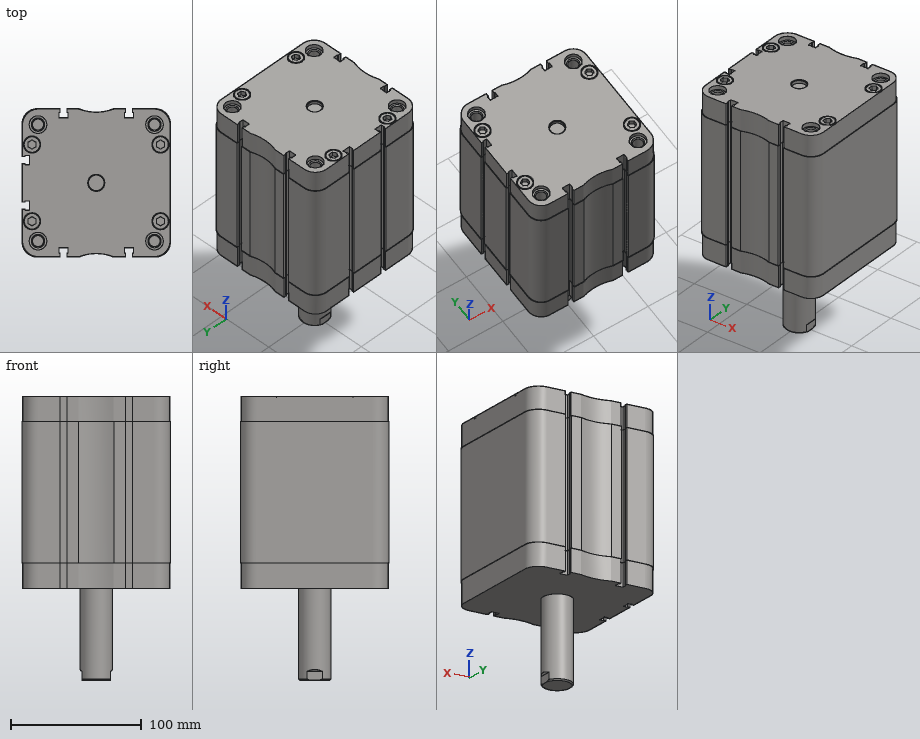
import cadquery as cq
import math

TOTAL_LENGTH = 217.0
ROD_STICKOUT = 70.0
FRONT_CAP_THICKNESS = 19.7
REAR_CAP_THICKNESS = 19.0
FRONT_FACE_Z = ROD_STICKOUT
BARREL_START_Z = FRONT_FACE_Z + FRONT_CAP_THICKNESS
BARREL_END_Z = TOTAL_LENGTH - REAR_CAP_THICKNESS

BARREL_SIDE = 113.5
CAP_SETBACK = 0.5
CAP_SIDE = BARREL_SIDE - 2 * CAP_SETBACK
CORNER_RADIUS = 12.0

RECESS_WIDTH = 27.0
RECESS_FLOOR_Y = 54.0

SLOT_NECK_WIDTH = 5.2
SLOT_CAVITY_WIDTH = 6.7
Y_SIDE_SLOT_OFFSET = 25.0
Y_SIDE_SLOT_LIP = 53.5
BARREL_Y_SIDE_SLOT_FLOOR = 50.0
CAP_Y_SIDE_SLOT_FLOOR = BARREL_Y_SIDE_SLOT_FLOOR - CAP_SETBACK
X_SIDE_SLOT_OFFSET = 17.4
X_SIDE_SLOT_LIP = 54.2
X_SIDE_SLOT_FLOOR = 51.0

MOUNT_OFFSET = 44.5
MOUNT_COUNTERBORE_DIAMETER = 13.5
MOUNT_COUNTERBORE_DEPTH = 3.5
MOUNT_COUNTERSINK_DIAMETER = 10.2
MOUNT_HOLE_DIAMETER = 8.5

SCREW_X = 49.0
SCREW_Y = 29.3
SCREW_RING_OUTER_DIAMETER = 13.0
SCREW_RING_INNER_DIAMETER = 12.0
SCREW_RING_DEPTH = 1.0
SOCKET_ACROSS_FLATS = 6.0
SOCKET_DEPTH = 4.0

CENTRE_HOLE_DIAMETER = 12.0
CENTRE_HOLE_RIM_DIAMETER = 13.0
CENTRE_HOLE_DEPTH = 3.0

ROD_DIAMETER = 25.0
ROD_TIP_CHAMFER = 1.0
FLATS_DISTANCE = 22.1
FLATS_LENGTH = 7.0


def t_slot(lip, floor, length):
    """T-slot cutter along Z that opens toward +Y, centred on the YZ plane."""
    neck = cq.Workplane("XY").box(
        SLOT_NECK_WIDTH, BARREL_SIDE / 2 - floor, length, centered=(True, False, False))
    cavity = cq.Workplane("XY").box(
        SLOT_CAVITY_WIDTH, lip - floor, length, centered=(True, False, False))
    return neck.union(cavity).translate((0, floor, 0))


def profile_block(side, y_side_slot_floor, start_z, end_z):
    """Rounded square block with the arched recesses and the six T-slots."""
    length = end_z - start_z
    block = cq.Workplane("XY").rect(side, side).extrude(length).edges("|Z").fillet(CORNER_RADIUS)

    recess_depth = side / 2 - RECESS_FLOOR_Y
    recess_radius = ((RECESS_WIDTH / 2) ** 2 + recess_depth ** 2) / (2 * recess_depth)
    recess_centre_y = RECESS_FLOOR_Y + recess_radius
    recesses = (
        cq.Workplane("XY")
        .pushPoints([(0, recess_centre_y), (0, -recess_centre_y)])
        .circle(recess_radius)
        .extrude(length)
    )
    block = block.cut(recesses)

    y_side_slot = t_slot(Y_SIDE_SLOT_LIP, y_side_slot_floor, length)
    x_side_slot = t_slot(X_SIDE_SLOT_LIP, X_SIDE_SLOT_FLOOR, length).rotate((0, 0, 0), (0, 0, 1), 90)
    for sign in (-1, 1):
        slot = y_side_slot.translate((sign * Y_SIDE_SLOT_OFFSET, 0, 0))
        block = block.cut(slot)
        block = block.cut(slot.mirror("XZ"))
        block = block.cut(x_side_slot.translate((0, sign * X_SIDE_SLOT_OFFSET, 0)))
    return block.translate((0, 0, start_z))


def conical_hole_cutter(top_diameter, bottom_diameter):
    """45 degree countersink cutter hanging down from z = 0."""
    depth = (top_diameter - bottom_diameter) / 2
    return cq.Workplane("XY").add(
        cq.Solid.makeCone(bottom_diameter / 2, top_diameter / 2, depth)).translate((0, 0, -depth))


def mount_hole_cutter():
    """Counterbore, countersink and hole through the rear cap, hanging down from z = 0."""
    counterbore = cq.Workplane("XY").circle(MOUNT_COUNTERBORE_DIAMETER / 2).extrude(-MOUNT_COUNTERBORE_DEPTH)
    hole = cq.Workplane("XY").circle(MOUNT_HOLE_DIAMETER / 2).extrude(-REAR_CAP_THICKNESS)
    countersink = conical_hole_cutter(MOUNT_COUNTERSINK_DIAMETER, MOUNT_HOLE_DIAMETER)
    return counterbore.union(hole).union(countersink.translate((0, 0, -MOUNT_COUNTERBORE_DEPTH)))


def screw_head_cutters():
    """Ring groove around a screw head and its hexagon socket, both hanging down from z = 0."""
    ring = (
        cq.Workplane("XY")
        .circle(SCREW_RING_OUTER_DIAMETER / 2)
        .circle(SCREW_RING_INNER_DIAMETER / 2)
        .extrude(-SCREW_RING_DEPTH)
    )
    across_corners = SOCKET_ACROSS_FLATS / math.cos(math.pi / 6)
    socket = (
        cq.Workplane("XY")
        .polygon(6, across_corners)
        .extrude(-SOCKET_DEPTH)
        .rotate((0, 0, 0), (0, 0, 1), 30)
    )
    return ring, socket


def centre_hole_cutter():
    """Blind centring hole with a chamfered rim, hanging down from z = 0."""
    hole = cq.Workplane("XY").circle(CENTRE_HOLE_DIAMETER / 2).extrude(-CENTRE_HOLE_DEPTH)
    return hole.union(conical_hole_cutter(CENTRE_HOLE_RIM_DIAMETER, CENTRE_HOLE_DIAMETER))


def make_barrel():
    return profile_block(BARREL_SIDE, BARREL_Y_SIDE_SLOT_FLOOR, BARREL_START_Z, BARREL_END_Z)


def make_front_cap():
    """Cap at the rod end, with the hole that the rod passes through."""
    cap = profile_block(CAP_SIDE, CAP_Y_SIDE_SLOT_FLOOR, FRONT_FACE_Z, BARREL_START_Z)
    rod_hole = (
        cq.Workplane("XY", origin=(0, 0, FRONT_FACE_Z))
        .circle(ROD_DIAMETER / 2)
        .extrude(FRONT_CAP_THICKNESS)
    )
    return cap.cut(rod_hole)


def make_rear_cap():
    """Closed cap with mounting holes, screw heads and the centring hole."""
    cap = profile_block(CAP_SIDE, CAP_Y_SIDE_SLOT_FLOOR, BARREL_END_Z, TOTAL_LENGTH)
    ring, socket = screw_head_cutters()
    mount_hole = mount_hole_cutter()
    for x_sign in (-1, 1):
        for y_sign in (-1, 1):
            screw_place = (x_sign * SCREW_X, y_sign * SCREW_Y, TOTAL_LENGTH)
            cap = cap.cut(mount_hole.translate((x_sign * MOUNT_OFFSET, y_sign * MOUNT_OFFSET, TOTAL_LENGTH)))
            cap = cap.cut(ring.translate(screw_place))
            cap = cap.cut(socket.translate(screw_place))
    return cap.cut(centre_hole_cutter().translate((0, 0, TOTAL_LENGTH)))


def make_rod():
    """Rod from its chamfered tip to the barrel, with two flats that run out at 45 degrees."""
    rod = (
        cq.Workplane("XY")
        .circle(ROD_DIAMETER / 2)
        .extrude(BARREL_START_Z)
        .faces("<Z")
        .chamfer(ROD_TIP_CHAMFER)
    )
    flat_x = FLATS_DISTANCE / 2
    flat_cutter = (
        cq.Workplane("XZ")
        .moveTo(flat_x, 0)
        .lineTo(flat_x, FLATS_LENGTH)
        .lineTo(ROD_DIAMETER, FLATS_LENGTH + ROD_DIAMETER - flat_x)
        .lineTo(ROD_DIAMETER, 0)
        .close()
        .extrude(ROD_DIAMETER / 2, both=True)
    )
    return rod.cut(flat_cutter).cut(flat_cutter.mirror("YZ"))


barrel = make_barrel()
front_cap = make_front_cap()
rear_cap = make_rear_cap()
rod = make_rod()

result = cq.Compound.makeCompound([barrel.val(), front_cap.val(), rear_cap.val(), rod.val()])